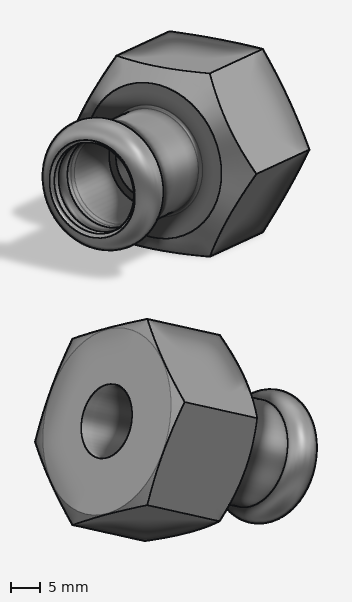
import cadquery as cq
import math

total_length = 39.0
neck_length = 19.0

across_flats = 32.0
across_corners = across_flats / math.cos(math.radians(30))
front_face_diameter = 26.87
front_chamfer_angle = 30.0
rear_face_diameter = 31.65
rear_chamfer_angle = 15.0

neck_radius = 18.3 / 2
neck_fillet = 0.5
bead_outer_radius = 11.35
bead_length = 6.47
bead_middle = bead_length / 2

through_radius = 12.6 / 2
socket_radius = 15.3 / 2
mouth_radius = 15.7 / 2
socket_depth = 17.15
taper_start = 5.58
taper_end = 6.35
lip_fillet = 0.6
lip_radius = mouth_radius + lip_fillet
groove_depth = 1.17
groove_half_width = 1.35


def cone_drop(face_diameter, angle):
    """Axial length of a chamfer cone from the end face out to the hexagon corners."""
    return (across_corners - face_diameter) / 2 * math.tan(math.radians(angle))


def revolve_about_y(profile):
    return profile.close().revolve(360, (0, 0, 0), (0, 1, 0))


def make_nut():
    """Hexagonal prism trimmed at both ends by chamfer cones."""
    prism = (
        cq.Workplane("XZ", origin=(0, total_length, 0))
        .polygon(6, across_corners)
        .extrude(total_length - neck_length)
    )
    corner_radius = across_corners / 2
    chamfer_envelope = revolve_about_y(
        cq.Workplane("XY")
        .moveTo(0, neck_length)
        .lineTo(front_face_diameter / 2, neck_length)
        .lineTo(corner_radius, neck_length + cone_drop(front_face_diameter, front_chamfer_angle))
        .lineTo(corner_radius, total_length - cone_drop(rear_face_diameter, rear_chamfer_angle))
        .lineTo(rear_face_diameter / 2, total_length)
        .lineTo(0, total_length)
    )
    return prism.intersect(chamfer_envelope)


def make_neck():
    """Tube with a rounded bead at the mouth and a fillet at the nut face."""
    return revolve_about_y(
        cq.Workplane("XY")
        .lineTo(lip_radius, 0)
        .threePointArc((bead_outer_radius, bead_middle), (neck_radius, bead_length))
        .lineTo(neck_radius, neck_length - neck_fillet)
        .radiusArc((neck_radius + neck_fillet, neck_length), neck_fillet)
        .lineTo(0, neck_length)
    )


def make_bore():
    """Through hole, tapered socket and seal groove, with a rounded lip at the mouth."""
    return revolve_about_y(
        cq.Workplane("XY")
        .lineTo(lip_radius, 0)
        .radiusArc((mouth_radius, lip_fillet), -lip_fillet)
        .lineTo(mouth_radius, bead_middle - groove_half_width)
        .threePointArc(
            (mouth_radius + groove_depth, bead_middle),
            (mouth_radius, bead_middle + groove_half_width),
        )
        .lineTo(mouth_radius, taper_start)
        .lineTo(socket_radius, taper_end)
        .lineTo(socket_radius, socket_depth)
        .lineTo(through_radius, socket_depth)
        .lineTo(through_radius, total_length)
        .lineTo(0, total_length)
    )


result = make_nut().union(make_neck()).cut(make_bore())